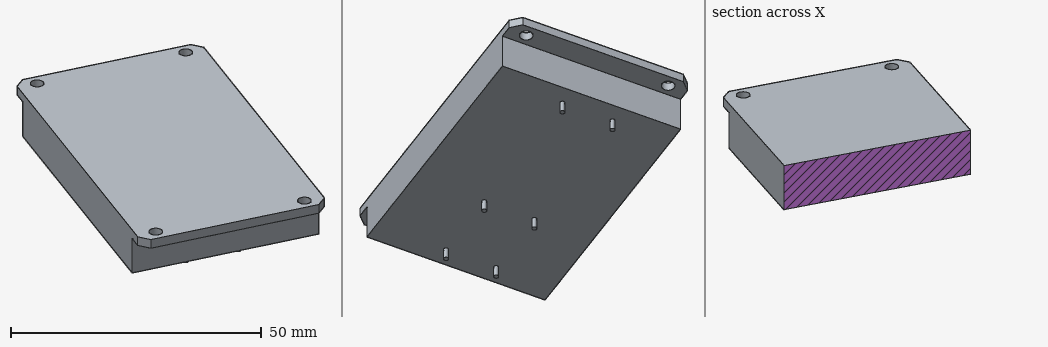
import cadquery as cq

plate_length = 67.5
plate_width = 40.2
plate_thickness = 2.0
corner_chamfer = 2.0

hole_diameter = 2.7
hole_spacing_x = 62.5
hole_spacing_y = 32.0

body_length = 57.7
body_width = plate_width
body_height = 8.0

pin_diameter = 1.0
pin_length = 2.5
end_pin_x = 24.75
middle_pin_x = 8.5
pin_columns_x = (-end_pin_x, middle_pin_x, end_pin_x)
pin_rows_y = (4.4, -6.9)

plate_bottom = body_height


def make_plate():
    """Flat plate with chamfered corners and four through holes."""
    plate = (
        cq.Workplane("XY")
        .workplane(offset=plate_bottom)
        .rect(plate_length, plate_width)
        .extrude(plate_thickness)
        .edges("|Z")
        .chamfer(corner_chamfer)
    )
    return (
        plate.faces(">Z")
        .workplane()
        .rect(hole_spacing_x, hole_spacing_y, forConstruction=True)
        .vertices()
        .hole(hole_diameter)
    )


def make_body():
    """Plain rectangular block from the underside up to the plate."""
    return cq.Workplane("XY").rect(body_length, body_width).extrude(body_height)


def make_pins():
    """Pins at every crossing of the pin columns and rows, pointing down."""
    positions = [(x, y) for x in pin_columns_x for y in pin_rows_y]
    return (
        cq.Workplane("XY")
        .pushPoints(positions)
        .circle(pin_diameter / 2)
        .extrude(-pin_length)
    )


result = make_plate().union(make_body()).union(make_pins())